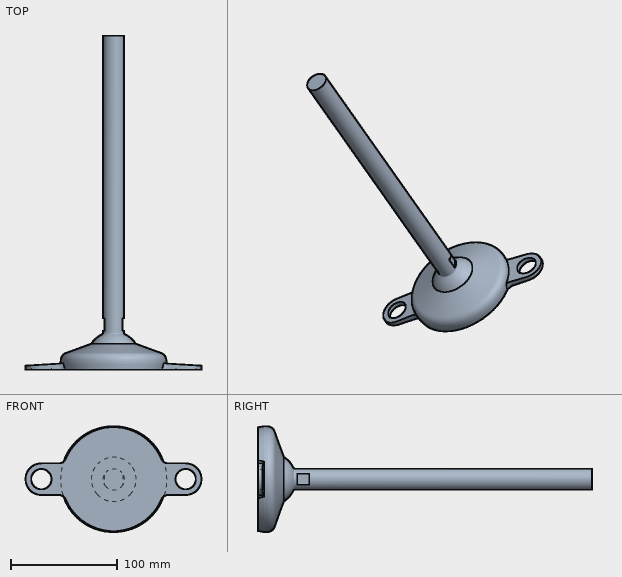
import cadquery as cq
import math


overall_length = 315.0
overall_width = 166.0
base_radius = 50.0

rim_bottom_radius = 49.0
rim_height = 6.0
shoulder_radius = 8.0
cone_angle = math.radians(20.0)
seat_radius = 21.0
seat_height = 24.6

lug_radius = 15.0
lug_hole_diameter = 19.0
lug_tip_thickness = 4.0
lug_root_fillet = 7.0
lug_center = overall_width / 2 - lug_radius

shaft_radius = 10.0
dome_sphere_radius = 25.0
neck_fillet = 1.2
flat_start = 37.0
flat_length = 11.5
across_flats = 17.0


def make_base_disc():
    """Revolved base body, with the shoulder rounded between the outer wall and the cone."""
    corner_height = seat_height - (base_radius - seat_radius) * math.tan(cone_angle)
    corner_turn = math.pi / 2 - cone_angle
    tangent_length = shoulder_radius * math.tan(corner_turn / 2)
    wall_top = corner_height - tangent_length
    arc_center_x = base_radius - shoulder_radius
    middle_angle = corner_turn / 2
    arc_middle = (
        arc_center_x + shoulder_radius * math.cos(middle_angle),
        wall_top + shoulder_radius * math.sin(middle_angle),
    )
    arc_end = (
        arc_center_x + shoulder_radius * math.cos(corner_turn),
        wall_top + shoulder_radius * math.sin(corner_turn),
    )
    profile = (
        cq.Workplane("XY")
        .lineTo(rim_bottom_radius, 0)
        .lineTo(base_radius, rim_height)
        .lineTo(base_radius, wall_top)
        .threePointArc(arc_middle, arc_end)
        .lineTo(seat_radius, seat_height)
        .lineTo(0, seat_height)
        .close()
    )
    return profile.revolve(360, (0, 0, 0), (0, 1, 0))


def make_lug(side):
    """One lug at +X (side = 1) or -X (side = -1), thinning from the rim to its tip."""
    fillet_center_z = lug_radius + lug_root_fillet
    center_distance = rim_bottom_radius + lug_root_fillet
    fillet_center_x = math.sqrt(center_distance**2 - fillet_center_z**2)
    rim_share = rim_bottom_radius / center_distance
    rim_x = fillet_center_x * rim_share
    rim_z = fillet_center_z * rim_share

    outline = (
        cq.Workplane("XZ")
        .lineTo(side * rim_x, -rim_z)
        .radiusArc((side * fillet_center_x, -lug_radius), side * lug_root_fillet)
        .lineTo(side * lug_center, -lug_radius)
        .threePointArc((side * overall_width / 2, 0), (side * lug_center, lug_radius))
        .lineTo(side * fillet_center_x, lug_radius)
        .radiusArc((side * rim_x, rim_z), side * lug_root_fillet)
        .close()
    )
    plate = outline.extrude(-rim_height)

    envelope = (
        cq.Workplane("XY")
        .lineTo(side * overall_width / 2, 0)
        .lineTo(side * overall_width / 2, lug_tip_thickness)
        .lineTo(side * base_radius, rim_height)
        .lineTo(0, rim_height)
        .close()
        .extrude(base_radius, both=True)
    )
    hole = (
        cq.Workplane("XZ")
        .center(side * lug_center, 0)
        .circle(lug_hole_diameter / 2)
        .extrude(-rim_height)
    )
    return plate.intersect(envelope).cut(hole)


def make_base():
    base = make_base_disc()
    for side in (-1, 1):
        base = base.union(make_lug(side))
    return base


def make_spindle():
    """Round shaft with a domed foot resting on the seat, and two wrench flats facing +X and -X."""
    sphere_center = seat_height - math.sqrt(dome_sphere_radius**2 - seat_radius**2)

    fillet_center_x = shaft_radius + neck_fillet
    center_distance = dome_sphere_radius + neck_fillet
    fillet_rise = math.sqrt(center_distance**2 - fillet_center_x**2)
    fillet_top = sphere_center + fillet_rise
    sphere_share = dome_sphere_radius / center_distance
    dome_top = (fillet_center_x * sphere_share, sphere_center + fillet_rise * sphere_share)

    profile = (
        cq.Workplane("XY")
        .moveTo(0, seat_height)
        .lineTo(seat_radius, seat_height)
        .radiusArc(dome_top, -dome_sphere_radius)
        .radiusArc((shaft_radius, fillet_top), neck_fillet)
        .lineTo(shaft_radius, overall_length)
        .lineTo(0, overall_length)
        .close()
    )
    spindle = profile.revolve(360, (0, 0, 0), (0, 1, 0))

    flat_depth = shaft_radius - across_flats / 2
    flat_center_x = across_flats / 2 + flat_depth / 2
    flat_center_y = flat_start + flat_length / 2
    for side in (-1, 1):
        flat_cut = (
            cq.Workplane("XY")
            .box(flat_depth, flat_length, 2 * shaft_radius)
            .translate((side * flat_center_x, flat_center_y, 0))
        )
        spindle = spindle.cut(flat_cut)
    return spindle


base = make_base()
spindle = make_spindle()

result = cq.Compound.makeCompound([base.val(), spindle.val()])